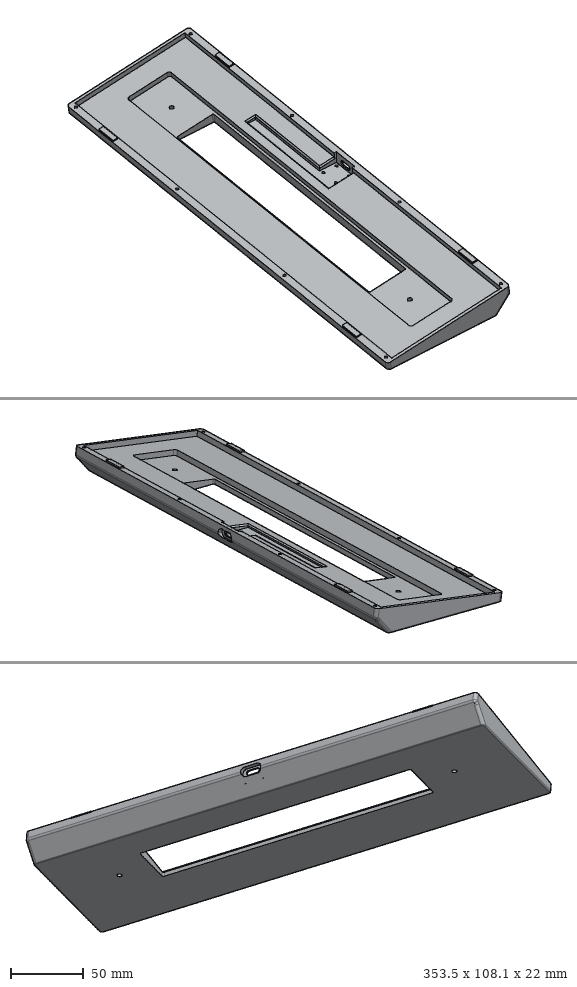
import cadquery as cq
import math

CASE_WIDTH = 353.5
OVERALL_HEIGHT = 22.0
TOP_DEPTH = 108.2
TILT = 7.5
CORNER_RADIUS = 2.5

REAR_WALL_HEIGHT = 7.5
UNDERCUT_ANGLE = 50.0
BASE_EDGE_RADIUS = 1.0

RIM_SIDE_WIDTH = 2.5
RIM_END_WIDTH = 5.5
DECK_DEPTH = 4.2

TAB_WIDTH = 15.5
TAB_DEPTH = 4.2
TAB_HEIGHT = 1.0
TAB_X = 134.0

SCREW_DIAMETER = 2.1
RIM_SCREW_DEPTH = 4.0
RIM_SCREW_XS = (59.0, 170.8)
RIM_SCREW_INSET = 3.35

POCKET_WIDTH = 312.5
POCKET_FRONT = 36.5
POCKET_REAR = 74.0
POCKET_DEPTH = 4.2
POCKET_RADIUS = 2.0
WINDOW_WIDTH = 212.0
WINDOW_FRONT = 39.5
WINDOW_REAR = 71.8
WINDOW_RADIUS = 1.0
POCKET_HOLE_DIAMETER = 3.32
POCKET_HOLE_X = 131.2

BAY_FLOOR_HEIGHT = 11.0
BAY_FRONT_Y = 27.2
BOARD_WIDTH = 19.8
BOARD_REAR_Y = 49.5
ARM_LEFT_X = -80.3
ARM_REAR_Y = 34.5
BAY_CHAMFER = 1.0
BOARD_SCREW_SPACING_X = 13.8
BOARD_SCREW_SPACING_Y = 11.5
BOARD_SCREW_FRONT_Y = 35.7
BOARD_SCREW_DEPTH = 3.0

PORT_WIDTH = 10.0
PORT_HEIGHT = 4.0
PORT_MIDDLE_HEIGHT = 14.5
PLUG_WIDTH = 15.5
PLUG_HEIGHT = 7.0
PLUG_DEPTH = 3.5
SLOT_ROUNDING = 0.45

SIDES = (-1, 1)
CLEARANCE = 3.5
TOOL_HEIGHT = 2 * OVERALL_HEIGHT

slope_sin = math.sin(math.radians(TILT))
slope_cos = math.cos(math.radians(TILT))
tab_inset = (RIM_END_WIDTH - TAB_DEPTH) / 2
rear_tab_rise = (TOP_DEPTH - tab_inset) * slope_sin + TAB_HEIGHT * slope_cos
front_height = OVERALL_HEIGHT - rear_tab_rise
rear_y = (TOP_DEPTH * slope_cos + REAR_WALL_HEIGHT * slope_sin) / 2
front_y = -rear_y
rear_corner_height = front_height + TOP_DEPTH * slope_sin - REAR_WALL_HEIGHT * slope_cos
base_rear_y = rear_y - rear_corner_height / math.tan(math.radians(UNDERCUT_ANGLE))
deck_rear = TOP_DEPTH - RIM_END_WIDTH
pocket_floor = -DECK_DEPTH - POCKET_DEPTH

TOP_PLANE = cq.Plane(
    origin=(0, front_y, front_height),
    xDir=(1, 0, 0),
    normal=(0, -slope_sin, slope_cos),
)


def tilted_block(width, front, rear, bottom, height, x=0.0, radius=0.0):
    """Block square to the top plane, from front to rear along the slope."""
    block = cq.Workplane("XY").box(width, rear - front, height, centered=(True, True, False))
    if radius:
        block = block.edges("|Z").fillet(radius)
    block = block.translate((x, (front + rear) / 2, bottom))
    return cq.Workplane(block.val().moved(TOP_PLANE.location))


def tilted_holes(points, diameter, level, depth):
    """Holes square to the top plane, sunk from the given level."""
    plane = cq.Workplane(TOP_PLANE).workplane(offset=level)
    return plane.pushPoints(points).circle(diameter / 2).extrude(-depth)


def bay_block(left, rear):
    """Upright block from the bay floor upwards, ending at the right side of the board square."""
    size = (BOARD_WIDTH / 2 - left, rear - BAY_FRONT_Y, TOOL_HEIGHT)
    return cq.Workplane("XY").box(*size, centered=False).translate((left, BAY_FRONT_Y, BAY_FLOOR_HEIGHT))


def rear_slot(width, height, start_y):
    """Rounded slot around the port axis, from start_y out through the rear wall."""
    length = rear_y + CLEARANCE - start_y
    slot = cq.Workplane("XY").box(width, length, height, centered=(True, False, True))
    slot = slot.edges("|Y").fillet(SLOT_ROUNDING * height)
    return slot.translate((0, start_y, PORT_MIDDLE_HEIGHT))


def make_body():
    """Rounded block square to the top plane, with a flat base and an undercut rear."""
    block = tilted_block(CASE_WIDTH, 0, TOP_DEPTH, -TOOL_HEIGHT, TOOL_HEIGHT, radius=CORNER_RADIUS)
    kept_side = (
        cq.Workplane("YZ")
        .moveTo(front_y - CLEARANCE, 0)
        .lineTo(base_rear_y, 0)
        .lineTo(rear_y, rear_corner_height)
        .lineTo(rear_y + CLEARANCE, rear_corner_height)
        .lineTo(rear_y + CLEARANCE, TOOL_HEIGHT)
        .lineTo(front_y - CLEARANCE, TOOL_HEIGHT)
        .close()
        .extrude(CASE_WIDTH, both=True)
    )
    body = block.intersect(kept_side)
    undercut_normal = cq.Vector(0, rear_corner_height, base_rear_y - rear_y)
    undercut_face = cq.selectors.DirectionMinMaxSelector(undercut_normal, True)
    undercut_sides = body.faces(undercut_face).edges(">X or <X")
    body = undercut_sides.fillet(CORNER_RADIUS)
    return body.faces("<Z").edges().fillet(BASE_EDGE_RADIUS)


def cut_deck_and_pocket(body):
    """Sunken deck, the pocket in it, and the window and holes through the pocket floor."""
    deck_width = CASE_WIDTH - 2 * RIM_SIDE_WIDTH
    deck = tilted_block(deck_width, RIM_END_WIDTH, deck_rear, -DECK_DEPTH, DECK_DEPTH)
    pocket = tilted_block(
        POCKET_WIDTH, POCKET_FRONT, POCKET_REAR, pocket_floor, POCKET_DEPTH, radius=POCKET_RADIUS
    )
    window = tilted_block(
        WINDOW_WIDTH, WINDOW_FRONT, WINDOW_REAR, -TOOL_HEIGHT, TOOL_HEIGHT, radius=WINDOW_RADIUS
    )
    hole_points = [(side * POCKET_HOLE_X, (POCKET_FRONT + POCKET_REAR) / 2) for side in SIDES]
    holes = tilted_holes(hole_points, POCKET_HOLE_DIAMETER, pocket_floor, TOOL_HEIGHT)
    return body.cut(deck).cut(pocket).cut(window).cut(holes)


def is_bay_edge_on_deck(edge):
    """True for the bay outline where it breaks through the deck."""
    tolerance = 0.05
    x, y, height = TOP_PLANE.toLocalCoords(edge.Center()).toTuple()
    beside_bay = ARM_LEFT_X - tolerance < x < BOARD_WIDTH / 2 + tolerance
    behind_pocket = POCKET_REAR + tolerance < y < deck_rear - tolerance
    return beside_bay and behind_pocket and abs(height + DECK_DEPTH) < tolerance


def cut_bay(body):
    """L-shaped bay with chamfered deck edges and blind board screw holes."""
    board_square = bay_block(-BOARD_WIDTH / 2, BOARD_REAR_Y)
    cable_arm = bay_block(ARM_LEFT_X, ARM_REAR_Y)
    body = body.cut(board_square.union(cable_arm))
    body = body.edges().filter(is_bay_edge_on_deck).chamfer(BAY_CHAMFER)
    screw_points = [
        (side * BOARD_SCREW_SPACING_X / 2, BOARD_SCREW_FRONT_Y + step)
        for side in SIDES
        for step in (0, BOARD_SCREW_SPACING_Y)
    ]
    bay_floor = cq.Workplane("XY").workplane(offset=BAY_FLOOR_HEIGHT)
    screws = bay_floor.pushPoints(screw_points).circle(SCREW_DIAMETER / 2).extrude(-BOARD_SCREW_DEPTH)
    return body.cut(screws)


def cut_port(body):
    """Cable port from the board square to the rear, and its outer plug recess."""
    port = rear_slot(PORT_WIDTH, PORT_HEIGHT, BOARD_REAR_Y - CLEARANCE)
    plug_recess = rear_slot(PLUG_WIDTH, PLUG_HEIGHT, rear_y - PLUG_DEPTH)
    return body.cut(port).cut(plug_recess)


def add_tabs(body):
    """Four locating tabs, centred across the front and rear rim."""
    for front in (tab_inset, TOP_DEPTH - tab_inset - TAB_DEPTH):
        for side in SIDES:
            tab = tilted_block(TAB_WIDTH, front, front + TAB_DEPTH, 0, TAB_HEIGHT, x=side * TAB_X)
            body = body.union(tab)
    return body


def cut_rim_screws(body):
    """Blind screw holes along the front and rear rim."""
    points = [
        (side * x, y)
        for side in SIDES
        for x in RIM_SCREW_XS
        for y in (RIM_SCREW_INSET, TOP_DEPTH - RIM_SCREW_INSET)
    ]
    return body.cut(tilted_holes(points, SCREW_DIAMETER, 0, RIM_SCREW_DEPTH))


case = make_body()
case = cut_deck_and_pocket(case)
case = cut_bay(case)
case = cut_port(case)
case = add_tabs(case)
result = cut_rim_screws(case)